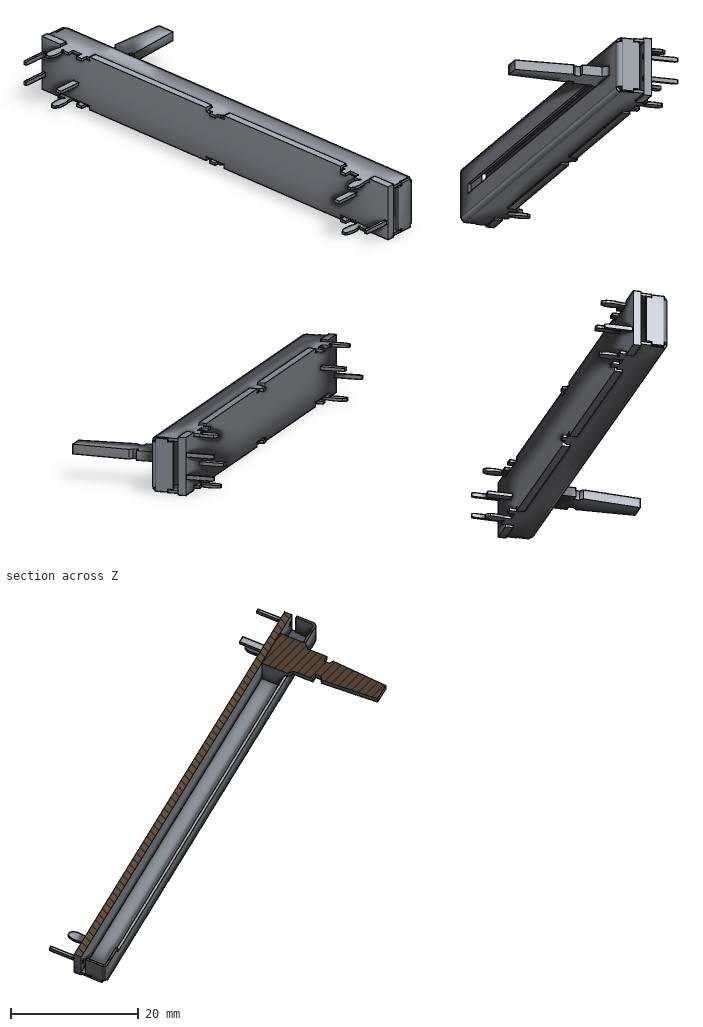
import cadquery as cq


BOARD_LENGTH = 74.7
BOARD_WIDTH = 9.4
BOARD_THICKNESS = 1.3

COVER_LENGTH = 75.0
COVER_WIDTH = 8.85
COVER_BACK_Y = 5.7
SHEET = 0.45
BEND_RADIUS = 0.75
END_FLAP_SHOULDER_Y = 3.0
END_FLAP_LOW_Y = 2.1
END_FLAP_WIDTH = 7.65
FLAP_STEP = 0.15
CORNER_RELIEF_X = 0.75
CORNER_RELIEF_Y = 0.7
CORNER_RELIEF_Z = 0.75

INNER_WIDTH = COVER_WIDTH - 2 * SHEET
INNER_LENGTH = COVER_LENGTH - 2 * SHEET
INNER_BACK_Y = COVER_BACK_Y - SHEET

SIDE_TAB_INNER_X = 27.3
SIDE_TAB_OUTER_X = 33.1
SIDE_TAB_LOW_Y = 0.2
NOTCH_GAP = 0.2
STOP_INNER_X = 27.9
STOP_OUTER_X = 29.0
STOP_LOW_Y = -0.9

LEG_X = 31.95
LEG_HALF_WIDTH = SIDE_TAB_OUTER_X - LEG_X
LEG_ROOT_Y = -0.8
PRONG_OUTER_BULGE = (-1.35, -2.25)
PRONG_OUTER_SHOULDER = (-1.3, -3.2)
PRONG_TIP_Y = -3.8
PRONG_TIP_OUTER_X = -0.9
PRONG_TIP_INNER_X = -0.3
PRONG_INNER_SHOULDER = (-0.1, -3.5)
PRONG_INNER_BULGE = (0.15, -2.4)
PRONG_INNER_ROOT_X = -0.1
PRONG_RELIEF_DIAMETER = 0.4

MIDDLE_TAB_HALF_WIDTH = 1.7
MIDDLE_TAB_CHAMFER = 0.6
MIDDLE_TAB_LOW_Y = 0.1
NUB_HALF_WIDTH = 0.6
NUB_LOW_Y = -0.6

TRAVEL = 60.0
SLIDER_X = -TRAVEL / 2
LEVER_THICKNESS = 1.6
FOOT_WIDTH = 6.6
STEM_WIDTH = 4.95
STEM_LOW_Y = COVER_BACK_Y + (FOOT_WIDTH - STEM_WIDTH) / 2
STEM_TOP_Y = 9.8
NECK_WIDTH = 3.0
NECK_TOP_Y = 10.7
BLADE_LOW_WIDTH = 4.2
BLADE_LOW_Y = 11.2
LEVER_TIP_WIDTH = 3.0
LEVER_TIP_Y = 20.7

END_PIN_PLACES = [(-36.75, 1.8), (-36.75, -1.8), (36.75, -1.8)]
END_PIN_WIDTH = 0.45
END_PIN_HEIGHT = 0.7
END_PIN_LOW_Y = -4.5
END_PIN_TAPER_LENGTH = 0.4
END_PIN_TAPER_DEPTH = 0.1

WIDE_PIN_PLACES = [(-30.0, -1.0), (30.0, 1.0)]
WIDE_PIN_WIDTH = 1.1
WIDE_PIN_HEIGHT = 0.5
WIDE_PIN_LOW_Y = -4.0


def box(x_low, x_high, y_low, y_high, z_low, z_high):
    """A block between two corners."""
    size = (x_high - x_low, y_high - y_low, z_high - z_low)
    return cq.Workplane("XY").box(*size, centered=False).translate((x_low, y_low, z_low))


def middle_box(length, y_low, y_high, width, x=0.0, z=0.0):
    """A block centred on X and Z."""
    return box(x - length / 2, x + length / 2, y_low, y_high, z - width / 2, z + width / 2)


def on_four_corners(shape):
    """Join a shape with its mirror copies across the X = 0 and Z = 0 planes."""
    both_ends = shape.union(shape.mirror("YZ"))
    return both_ends.union(both_ends.mirror("XY"))


def side_plate(sketch):
    """Give an XY outline the sheet thickness, in the +Z wall of the cover."""
    return sketch.extrude(SHEET).translate((0, 0, INNER_WIDTH / 2))


def make_snap_leg():
    """The leg at the -X end of the +Z wall; its prong is on the -X side."""
    outline = (
        cq.Workplane("XY")
        .moveTo(LEG_HALF_WIDTH, BOARD_THICKNESS)
        .lineTo(-LEG_HALF_WIDTH, BOARD_THICKNESS)
        .lineTo(-LEG_HALF_WIDTH, LEG_ROOT_Y)
        .threePointArc(PRONG_OUTER_BULGE, PRONG_OUTER_SHOULDER)
        .lineTo(PRONG_TIP_OUTER_X, PRONG_TIP_Y)
        .lineTo(PRONG_TIP_INNER_X, PRONG_TIP_Y)
        .lineTo(*PRONG_INNER_SHOULDER)
        .threePointArc(PRONG_INNER_BULGE, (PRONG_INNER_ROOT_X, LEG_ROOT_Y))
        .lineTo(LEG_HALF_WIDTH, LEG_ROOT_Y)
        .close()
    )
    relief = cq.Workplane("XY").center(PRONG_INNER_ROOT_X, LEG_ROOT_Y).circle(PRONG_RELIEF_DIAMETER / 2)
    return side_plate(outline).cut(side_plate(relief))


def make_snap_legs():
    """Four legs: prongs point to the ends on the +Z wall and to the middle on the -Z wall."""
    leg = make_snap_leg()
    outward_leg = leg.translate((-LEG_X, 0, 0))
    inward_leg = leg.mirror("YZ").mirror("XY").translate((-LEG_X, 0, 0))
    left_legs = outward_leg.union(inward_leg)
    return left_legs.union(left_legs.mirror("YZ"))


def make_side_tab():
    """The tab at the -X end of the +Z wall, with its board stop."""
    z_range = (INNER_WIDTH / 2, COVER_WIDTH / 2)
    tab = box(-SIDE_TAB_OUTER_X, -SIDE_TAB_INNER_X, SIDE_TAB_LOW_Y, BOARD_THICKNESS, *z_range)
    stop = box(-STOP_OUTER_X, -STOP_INNER_X, STOP_LOW_Y, BOARD_THICKNESS, *z_range)
    return tab.union(stop)


def make_middle_tab():
    chamfer_x = MIDDLE_TAB_HALF_WIDTH - MIDDLE_TAB_CHAMFER
    chamfer_y = MIDDLE_TAB_LOW_Y + MIDDLE_TAB_CHAMFER
    right_half = [
        (NUB_HALF_WIDTH, NUB_LOW_Y),
        (NUB_HALF_WIDTH, MIDDLE_TAB_LOW_Y),
        (chamfer_x, MIDDLE_TAB_LOW_Y),
        (MIDDLE_TAB_HALF_WIDTH, chamfer_y),
        (MIDDLE_TAB_HALF_WIDTH, BOARD_THICKNESS),
    ]
    left_half = [(-x, y) for x, y in reversed(right_half)]
    return side_plate(cq.Workplane("XY").polyline(right_half + left_half).close())


def make_cover():
    shell = middle_box(COVER_LENGTH, BOARD_THICKNESS, COVER_BACK_Y, COVER_WIDTH)
    shell = shell.faces(">Y").edges().fillet(BEND_RADIUS)
    cavity = middle_box(INNER_LENGTH, BOARD_THICKNESS, INNER_BACK_Y, INNER_WIDTH)
    cavity = cavity.faces(">Y").edges().fillet(BEND_RADIUS - SHEET)
    cover = shell.cut(cavity)

    for side in (-1, 1):
        end_x = side * (COVER_LENGTH - SHEET) / 2
        gap = middle_box(SHEET, BOARD_THICKNESS, END_FLAP_SHOULDER_Y, INNER_WIDTH, x=end_x)
        flap = middle_box(SHEET, END_FLAP_LOW_Y, END_FLAP_SHOULDER_Y, END_FLAP_WIDTH, x=end_x)
        trim_x = side * (COVER_LENGTH + BOARD_LENGTH) / 4
        trim_length = (COVER_LENGTH - BOARD_LENGTH) / 2
        trim = middle_box(trim_length, BOARD_THICKNESS, END_FLAP_SHOULDER_Y, COVER_WIDTH, x=trim_x)
        cover = cover.cut(gap).cut(trim).union(flap)

    flap_step = box(
        -COVER_LENGTH / 2,
        -INNER_LENGTH / 2,
        END_FLAP_SHOULDER_Y,
        COVER_BACK_Y,
        COVER_WIDTH / 2 - FLAP_STEP,
        COVER_WIDTH / 2,
    )
    corner_relief = box(
        -COVER_LENGTH / 2,
        -COVER_LENGTH / 2 + CORNER_RELIEF_X,
        COVER_BACK_Y - CORNER_RELIEF_Y,
        COVER_BACK_Y,
        COVER_WIDTH / 2 - CORNER_RELIEF_Z,
        COVER_WIDTH / 2,
    )
    cover = cover.cut(on_four_corners(flap_step)).cut(on_four_corners(corner_relief))

    slot = middle_box(TRAVEL + FOOT_WIDTH, INNER_BACK_Y, COVER_BACK_Y, LEVER_THICKNESS)
    cover = cover.cut(slot)

    middle_tab = make_middle_tab()
    cover = cover.union(on_four_corners(make_side_tab())).union(make_snap_legs())
    return cover.union(middle_tab).union(middle_tab.mirror("XY"))


def make_end_pin(x, z):
    pin = middle_box(END_PIN_WIDTH, END_PIN_LOW_Y, BOARD_THICKNESS, END_PIN_HEIGHT, x, z)
    tip_edges = pin.faces("<Y").edges("|X")
    return tip_edges.chamfer(END_PIN_TAPER_DEPTH, END_PIN_TAPER_LENGTH)


def make_wide_pin(x, z):
    return middle_box(WIDE_PIN_WIDTH, WIDE_PIN_LOW_Y, BOARD_THICKNESS, WIDE_PIN_HEIGHT, x, z)


def make_board(pins):
    board = middle_box(BOARD_LENGTH, 0, BOARD_THICKNESS, BOARD_WIDTH)
    notch = box(
        -SIDE_TAB_OUTER_X - NOTCH_GAP,
        -SIDE_TAB_INNER_X + NOTCH_GAP,
        0,
        BOARD_THICKNESS,
        INNER_WIDTH / 2,
        BOARD_WIDTH / 2,
    )
    board = board.cut(on_four_corners(notch))
    middle_length = 2 * (MIDDLE_TAB_HALF_WIDTH + NOTCH_GAP)
    middle_notches = middle_box(middle_length, 0, BOARD_THICKNESS, BOARD_WIDTH).cut(
        middle_box(middle_length, 0, BOARD_THICKNESS, INNER_WIDTH)
    )
    board = board.cut(middle_notches)
    for pin in pins:
        board = board.cut(pin)
    return board


def make_slider():
    """The carriage inside the cover and the lever that stands on it, as one piece."""
    carriage = middle_box(FOOT_WIDTH, BOARD_THICKNESS, INNER_BACK_Y, INNER_WIDTH)
    carriage = carriage.faces(">Y").edges("|X").fillet(BEND_RADIUS - SHEET)
    right_half = [
        (FOOT_WIDTH / 2, INNER_BACK_Y),
        (FOOT_WIDTH / 2, COVER_BACK_Y),
        (STEM_WIDTH / 2, STEM_LOW_Y),
        (STEM_WIDTH / 2, STEM_TOP_Y),
        (NECK_WIDTH / 2, STEM_TOP_Y),
        (NECK_WIDTH / 2, NECK_TOP_Y),
        (BLADE_LOW_WIDTH / 2, BLADE_LOW_Y),
        (LEVER_TIP_WIDTH / 2, LEVER_TIP_Y),
    ]
    left_half = [(-x, y) for x, y in reversed(right_half)]
    lever = cq.Workplane("XY").polyline(right_half + left_half).close()
    lever = lever.extrude(LEVER_THICKNESS / 2, both=True)
    return carriage.union(lever).translate((SLIDER_X, 0, 0))


end_pins = [make_end_pin(x, z) for x, z in END_PIN_PLACES]
wide_pins = [make_wide_pin(x, z) for x, z in WIDE_PIN_PLACES]
pins = end_pins + wide_pins
board = make_board(pins)
cover = make_cover()
slider = make_slider()

result = cq.Compound.makeCompound([cover.val(), board.val(), slider.val(), *[pin.val() for pin in pins]])